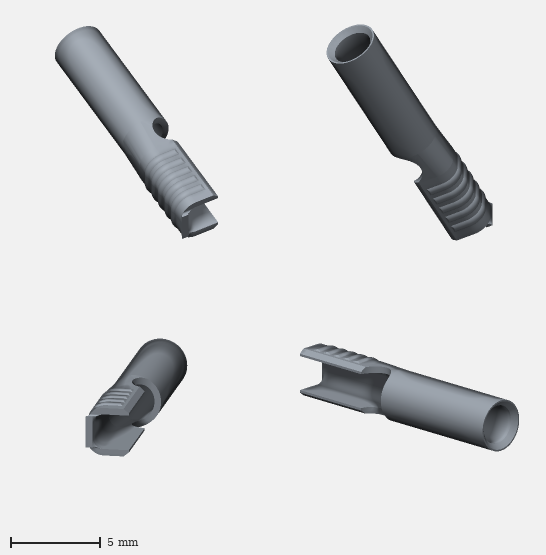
import cadquery as cq
import math


total_length = 14.99
sleeve_end = 7.91
barrel_start = 9.98
barrel_end = 14.75

sleeve_radius = 1.48
wall = 0.37
mouth_rim = 0.09
mouth_taper = wall - mouth_rim

barrel_half_height = 1.38
barrel_floor_y = -sleeve_radius
barrel_edge_y = 0.93
corner_radius = 0.99
edge_taper_length = 0.3
edge_taper_depth = 0.24
corner_y = barrel_floor_y + corner_radius
corner_z = barrel_half_height - corner_radius

corner_start_angle = math.radians(12.5)
corner_end_angle = math.radians(70)

rib_count = 5
rib_pitch = 0.76
first_rib_x = 10.82
rib_width = 0.5
rib_height = 0.07
rib_end_y = 0.45
rib_end_slope = 0.12
rib_root = 0.07

tab_half_height = 0.9
tab_fillet = 0.09
tab_flat_length = 0.06

notch_radius = (barrel_start - sleeve_end) / 2
notch_bottom_y = 0.03
notch_x = sleeve_end + notch_radius


def trace_u(x, end_y, inset):
    """Open U path at x, from one free end at end_y round the floor to the other, moved inward by inset."""
    half_height = barrel_half_height - inset
    radius = corner_radius - inset
    floor_y = barrel_floor_y + inset
    diagonal = radius * math.sqrt(0.5)
    return (
        cq.Workplane("YZ", origin=(x, 0, 0))
        .moveTo(end_y, half_height)
        .lineTo(corner_y, half_height)
        .threePointArc((corner_y - diagonal, corner_z + diagonal), (floor_y, corner_z))
        .lineTo(floor_y, -corner_z)
        .threePointArc((corner_y - diagonal, -corner_z - diagonal), (corner_y, -half_height))
        .lineTo(end_y, -half_height)
    )


def u_outline(x, inset):
    """Closed barrel section at x."""
    return trace_u(x, barrel_edge_y, inset).close().wire().val()


def round_outline(x, radius):
    """Circle cut off at the barrel edge height, split into arcs that match the U section."""
    top_angle = -math.asin(barrel_edge_y / radius)

    def point(angle):
        return (-radius * math.sin(angle), radius * math.cos(angle))

    splits = [top_angle, corner_start_angle, corner_end_angle]
    splits += [math.pi - angle for angle in reversed(splits)]
    outline = cq.Workplane("YZ", origin=(x, 0, 0)).moveTo(*point(top_angle))
    for start, end in zip(splits, splits[1:]):
        outline = outline.threePointArc(point((start + end) / 2), point(end))
    return outline.close().wire().val()


def prism(wire, length):
    return cq.Workplane(obj=cq.Solid.extrudeLinear(wire, [], cq.Vector(length, 0, 0)))


def transition(inset):
    """Ruled blend from the round section to the U section."""
    sections = [round_outline(sleeve_end, sleeve_radius - inset), u_outline(barrel_start, inset)]
    return cq.Workplane(obj=cq.Solid.makeLoft(sections, True))


def make_sleeve():
    sleeve = cq.Workplane("YZ").circle(sleeve_radius).circle(sleeve_radius - wall).extrude(sleeve_end)
    return sleeve.faces("<X").edges("%CIRCLE").edges(cq.selectors.RadiusNthSelector(0)).chamfer(mouth_taper)


def make_notch():
    return (
        cq.Workplane("XY")
        .center(notch_x, notch_bottom_y + notch_radius)
        .circle(notch_radius)
        .extrude(2 * sleeve_radius, both=True)
    )


def make_edge_taper():
    """Wedge removed from the outside of the upper free edge, from the notch to the barrel end."""
    return (
        cq.Workplane("YZ", origin=(notch_x, 0, 0))
        .moveTo(barrel_edge_y - edge_taper_length, barrel_half_height)
        .lineTo(barrel_edge_y - edge_taper_length, sleeve_radius)
        .lineTo(barrel_edge_y, sleeve_radius)
        .lineTo(barrel_edge_y, barrel_half_height - edge_taper_depth)
        .close()
        .extrude(barrel_end - notch_x)
    )


def make_open_half():
    """Notched transition and U barrel with thinned free edges."""
    length = barrel_end - barrel_start
    outside = transition(0).union(prism(u_outline(barrel_start, 0), length))
    edge_taper = make_edge_taper()
    return (
        outside.cut(transition(wall))
        .cut(prism(u_outline(barrel_start, wall), length))
        .cut(make_notch())
        .cut(edge_taper)
        .cut(edge_taper.mirror("XY"))
    )


def make_rib(x):
    """Rounded rib that follows the outside of the U and slopes down at both ends."""
    rib = (
        cq.Workplane("XZ", origin=(x, rib_end_y, barrel_half_height))
        .moveTo(-rib_width / 2, -rib_root)
        .lineTo(-rib_width / 2, 0)
        .threePointArc((0, rib_height), (rib_width / 2, 0))
        .lineTo(rib_width / 2, -rib_root)
        .close()
        .sweep(trace_u(x, rib_end_y, 0))
    )
    end_slope = (
        cq.Workplane("YZ", origin=(x, 0, 0))
        .moveTo(rib_end_y, barrel_half_height)
        .lineTo(rib_end_y, barrel_half_height + rib_height)
        .lineTo(rib_end_y - rib_end_slope, barrel_half_height + rib_height)
        .close()
        .extrude(rib_width, both=True)
    )
    return rib.cut(end_slope).cut(end_slope.mirror("XY"))


def arc_point(radius, z):
    """Point at height z on the upper corner arc of the given radius."""
    return (corner_y - math.sqrt(radius**2 - (z - corner_z) ** 2), z)


def curved_tab_section(half_height):
    """Part of the barrel section within half_height of the middle plane."""
    inner_radius = corner_radius - wall
    middle_z = (half_height + corner_z) / 2

    def mirrored(point):
        return (point[0], -point[1])

    outer_end = arc_point(corner_radius, half_height)
    outer_middle = arc_point(corner_radius, middle_z)
    inner_end = arc_point(inner_radius, half_height)
    inner_middle = arc_point(inner_radius, middle_z)
    return (
        cq.Workplane("YZ", origin=(barrel_end, 0, 0))
        .moveTo(barrel_floor_y, -corner_z)
        .lineTo(barrel_floor_y, corner_z)
        .threePointArc(outer_middle, outer_end)
        .lineTo(*inner_end)
        .threePointArc(inner_middle, (barrel_floor_y + wall, corner_z))
        .lineTo(barrel_floor_y + wall, -corner_z)
        .threePointArc(mirrored(inner_middle), mirrored(inner_end))
        .lineTo(*mirrored(outer_end))
        .threePointArc(mirrored(outer_middle), (barrel_floor_y, -corner_z))
        .wire()
        .val()
    )


def flat_tab_section(half_height):
    """Flat plate section with one corner for each corner of the curved section."""
    outer_y = barrel_floor_y
    inner_y = barrel_floor_y + wall
    heights = [-corner_z, corner_z, half_height]
    return (
        cq.Workplane("YZ", origin=(total_length - tab_flat_length, 0, 0))
        .polyline([(outer_y, z) for z in heights])
        .lineTo(inner_y, half_height)
        .lineTo(inner_y, corner_z)
        .lineTo(inner_y, -corner_z)
        .lineTo(inner_y, -half_height)
        .lineTo(outer_y, -half_height)
        .close()
        .wire()
        .val()
    )


def make_tab():
    """Tab that flattens from the barrel floor into a plate and is filleted at its root."""
    root_half_height = tab_half_height + tab_fillet
    flat_section = flat_tab_section(root_half_height)
    blend = cq.Solid.makeLoft([curved_tab_section(root_half_height), flat_section], True)
    tab = cq.Workplane(obj=blend).union(prism(flat_section, tab_flat_length))

    fillet_end_x = barrel_end + tab_fillet
    fillet_rise = tab_fillet * (1 - math.sqrt(0.5))
    outline = (
        cq.Workplane("XZ")
        .moveTo(barrel_end, 0)
        .lineTo(barrel_end, root_half_height)
        .threePointArc(
            (barrel_end + fillet_rise, tab_half_height + fillet_rise),
            (fillet_end_x, tab_half_height),
        )
        .lineTo(total_length, tab_half_height)
        .lineTo(total_length, 0)
        .close()
        .extrude(sleeve_radius)
    )
    return tab.intersect(outline.union(outline.mirror("XY")))


result = make_sleeve().union(make_open_half())
for index in range(rib_count):
    result = result.union(make_rib(first_rib_x + index * rib_pitch))
result = result.union(make_tab())